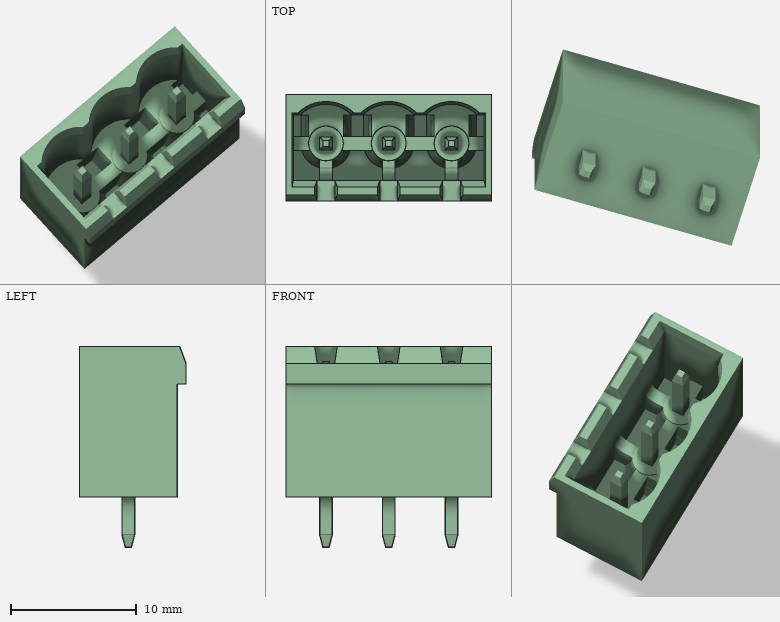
import cadquery as cq
import math


PIN_COUNT = 3
PIN_PITCH = 5.0
PIN_WIDTH = 1.03
PIN_TIP_WIDTH = 0.5
PIN_TAPER_LENGTH = 1.0
PIN_TOP_Z = 10.8
TAIL_LENGTH = 4.0

LENGTH = 16.4
HEIGHT = 12.0
BACK_Y = 3.9
FRONT_Y = -3.9
LIP_OVERHANG = 0.7
LIP_HEIGHT = 3.0
LIP_BEVEL = 0.5

MOUTH_DEPTH = 1.35
FLOOR_Z = 1.0
CAVITY_LENGTH = 15.2
CAVITY_BACK_Y = 2.27
CAVITY_FRONT_Y = -2.95
MOUTH_SIDE_FLARE = 0.1
MOUTH_BACK_FLARE = 0.15
MOUTH_FRONT_FLARE = 0.5

BAY_CENTER_Y = 0.2
BAY_RADIUS = 2.92
BAY_MOUTH_RADIUS = 3.14

NOTCH_FLOOR_WIDTH = 1.4
NOTCH_TOP_WIDTH = 1.8

PEDESTAL_HEIGHT = 2.4
PEDESTAL_TOP_RADIUS = 1.38
PEDESTAL_KNEE_RADIUS = 1.62
PEDESTAL_KNEE_HEIGHT = 1.1
PEDESTAL_FOOT_RADIUS = 2.0
COLLAR_HEIGHT = 0.2

CROSS_RIB_WIDTH = 1.1
FRONT_RIB_WIDTH = 1.0
FRONT_RIB_CURVE_RADIUS = 1.0

PIN_XS = [(i - (PIN_COUNT - 1) / 2) * PIN_PITCH for i in range(PIN_COUNT)]
LIP_Y = FRONT_Y - LIP_OVERHANG
MOUTH_Z = HEIGHT - MOUTH_DEPTH
PEDESTAL_TOP_Z = FLOOR_Z + PEDESTAL_HEIGHT


def box(x_min, x_max, y_min, y_max, z_min, z_max):
    """Axis-aligned block between the given limits."""
    size = (x_max - x_min, y_max - y_min, z_max - z_min)
    return cq.Workplane("XY").box(*size, centered=False).translate((x_min, y_min, z_min))


def make_shell():
    """Solid housing block with the bevelled lip along the top of its front face."""
    outline = [
        (BACK_Y, 0),
        (BACK_Y, HEIGHT),
        (LIP_Y + LIP_BEVEL, HEIGHT),
        (LIP_Y, MOUTH_Z),
        (LIP_Y, HEIGHT - LIP_HEIGHT),
        (FRONT_Y, HEIGHT - LIP_HEIGHT),
        (FRONT_Y, 0),
    ]
    return cq.Workplane("YZ").polyline(outline).close().extrude(LENGTH / 2, both=True)


def make_cavity():
    """Rectangular cavity and its flared mouth."""
    half = CAVITY_LENGTH / 2
    mouth_half = half + MOUTH_SIDE_FLARE
    well = box(-half, half, CAVITY_FRONT_Y, CAVITY_BACK_Y, FLOOR_Z, MOUTH_Z)
    throat_outline = [
        (-half, CAVITY_FRONT_Y),
        (half, CAVITY_FRONT_Y),
        (half, CAVITY_BACK_Y),
        (-half, CAVITY_BACK_Y),
    ]
    mouth_outline = [
        (-mouth_half, CAVITY_FRONT_Y - MOUTH_FRONT_FLARE),
        (mouth_half, CAVITY_FRONT_Y - MOUTH_FRONT_FLARE),
        (mouth_half, CAVITY_BACK_Y + MOUTH_BACK_FLARE),
        (-mouth_half, CAVITY_BACK_Y + MOUTH_BACK_FLARE),
    ]
    mouth = (
        cq.Workplane("XY", origin=(0, 0, MOUTH_Z))
        .polyline(throat_outline)
        .close()
        .workplane(offset=MOUTH_DEPTH)
        .polyline(mouth_outline)
        .close()
        .loft(ruled=True)
    )
    return well.union(mouth)


def make_bay(x):
    """Part of a round bay with a conical mouth that reaches behind the cavity's back wall."""
    profile = [
        (0, PEDESTAL_TOP_Z),
        (BAY_RADIUS, PEDESTAL_TOP_Z),
        (BAY_RADIUS, MOUTH_Z),
        (BAY_MOUTH_RADIUS, HEIGHT),
        (0, HEIGHT),
    ]
    bay = (
        cq.Workplane("YZ")
        .polyline(profile)
        .close()
        .revolve(360, (0, 0, 0), (0, 1, 0))
        .translate((x, BAY_CENTER_Y, 0))
    )
    behind_wall = box(
        x - BAY_MOUTH_RADIUS, x + BAY_MOUTH_RADIUS, CAVITY_BACK_Y, BACK_Y, PEDESTAL_TOP_Z, HEIGHT
    )
    return bay.intersect(behind_wall)


def make_notch(x):
    """Tapered notch through the front wall."""
    outline = [
        (x - NOTCH_FLOOR_WIDTH / 2, MOUTH_Z),
        (x + NOTCH_FLOOR_WIDTH / 2, MOUTH_Z),
        (x + NOTCH_TOP_WIDTH / 2, HEIGHT),
        (x - NOTCH_TOP_WIDTH / 2, HEIGHT),
    ]
    plane = cq.Workplane("XZ", origin=(0, CAVITY_FRONT_Y, 0))
    return plane.polyline(outline).close().extrude(CAVITY_FRONT_Y - LIP_Y)


def make_pedestal(x):
    """Flared pedestal: round in front of the pin, straight-sided up to the back wall, with a collar."""
    knee_z = FLOOR_Z + PEDESTAL_KNEE_HEIGHT
    front = (
        cq.Workplane("XZ")
        .moveTo(0, FLOOR_Z)
        .lineTo(PEDESTAL_FOOT_RADIUS, FLOOR_Z)
        .threePointArc((PEDESTAL_KNEE_RADIUS, knee_z), (PEDESTAL_TOP_RADIUS, PEDESTAL_TOP_Z))
        .lineTo(0, PEDESTAL_TOP_Z)
        .close()
        .revolve(360, (0, 0, 0), (0, 1, 0))
    )
    back_outline = [
        (-PEDESTAL_FOOT_RADIUS, FLOOR_Z),
        (PEDESTAL_FOOT_RADIUS, FLOOR_Z),
        (PEDESTAL_KNEE_RADIUS, knee_z),
        (PEDESTAL_TOP_RADIUS, PEDESTAL_TOP_Z),
        (-PEDESTAL_TOP_RADIUS, PEDESTAL_TOP_Z),
        (-PEDESTAL_KNEE_RADIUS, knee_z),
    ]
    back = cq.Workplane("XZ").polyline(back_outline).close().extrude(-CAVITY_BACK_Y)
    foot = PEDESTAL_FOOT_RADIUS
    front = front.intersect(box(-foot, foot, -foot, 0, FLOOR_Z, PEDESTAL_TOP_Z))
    collar = (
        cq.Workplane("XY", origin=(0, 0, PEDESTAL_TOP_Z))
        .circle(PEDESTAL_TOP_RADIUS)
        .extrude(COLLAR_HEIGHT)
    )
    return front.union(back).union(collar).translate((x, 0, 0))


def make_front_rib(x):
    """Rib from a pedestal to the front wall, curving up to meet the wall."""
    curve_start_y = CAVITY_FRONT_Y + FRONT_RIB_CURVE_RADIUS
    curve_center_z = PEDESTAL_TOP_Z + FRONT_RIB_CURVE_RADIUS
    arc_offset = FRONT_RIB_CURVE_RADIUS * math.sqrt(0.5)
    rib = (
        cq.Workplane("YZ")
        .moveTo(0, FLOOR_Z)
        .lineTo(0, PEDESTAL_TOP_Z)
        .lineTo(curve_start_y, PEDESTAL_TOP_Z)
        .threePointArc(
            (curve_start_y - arc_offset, curve_center_z - arc_offset),
            (CAVITY_FRONT_Y, curve_center_z),
        )
        .lineTo(CAVITY_FRONT_Y, FLOOR_Z)
        .close()
        .extrude(FRONT_RIB_WIDTH / 2, both=True)
    )
    return rib.translate((x, 0, 0))


def make_cross_rib():
    """Straight rib along the pin row, from one end wall to the other."""
    half_length = CAVITY_LENGTH / 2
    half_width = CROSS_RIB_WIDTH / 2
    return box(-half_length, half_length, -half_width, half_width, FLOOR_Z, PEDESTAL_TOP_Z)


def make_pin_taper(base_z, tip_z):
    """Square taper at one end of a pin, narrowing from base_z to tip_z."""
    return (
        cq.Workplane("XY", origin=(0, 0, base_z))
        .rect(PIN_WIDTH, PIN_WIDTH)
        .workplane(offset=tip_z - base_z)
        .rect(PIN_TIP_WIDTH, PIN_TIP_WIDTH)
        .loft(ruled=True)
    )


def make_pin(x):
    """Square contact pin with a taper at both ends."""
    shank_top = PIN_TOP_Z - PIN_TAPER_LENGTH
    shank_bottom = PIN_TAPER_LENGTH - TAIL_LENGTH
    half = PIN_WIDTH / 2
    pin = box(-half, half, -half, half, shank_bottom, shank_top)
    pin = pin.union(make_pin_taper(shank_top, PIN_TOP_Z))
    pin = pin.union(make_pin_taper(shank_bottom, -TAIL_LENGTH))
    return pin.translate((x, 0, 0))


result = make_shell().cut(make_cavity())
for pin_x in PIN_XS:
    result = result.cut(make_bay(pin_x)).cut(make_notch(pin_x))

result = result.union(make_cross_rib())
for pin_x in PIN_XS:
    result = result.union(make_pedestal(pin_x)).union(make_front_rib(pin_x)).union(make_pin(pin_x))